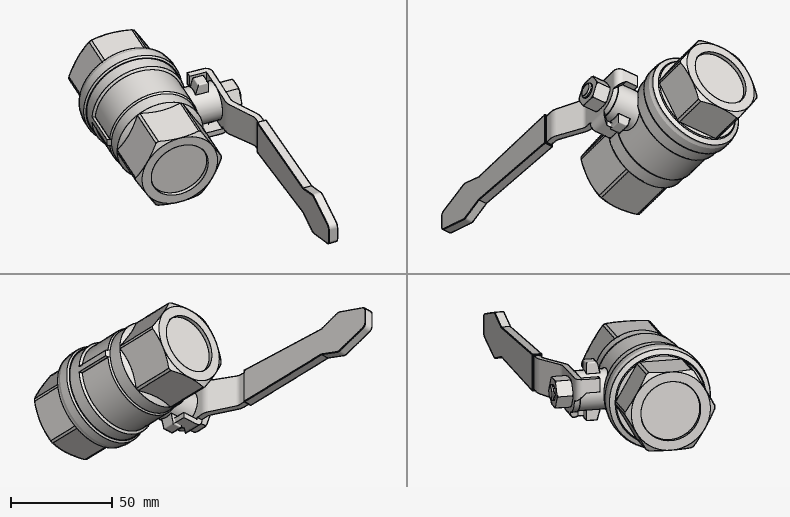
import cadquery as cq
import math


half_length = 45.0
body_middle_x = -0.5
left_end = body_middle_x - half_length
right_end = body_middle_x + half_length
hex_flats = 40.5
hex_corner_radius = 22.95
end_face_radius = 20.2
end_chamfer_length = 1.6
bore_radius = 15.25
bore_depth = 2.0

collar_start = -25.4
collar_nose_break = 0.5
collar_nose_radius = 23.2
collar_rim_radius = 25.8
collar_radius = 26.25
collar_nose_end = -23.8
collar_rim_end = -22.8
collar_ramp_end = -21.3
collar_end = -15.7
collar_edge_chamfer = 0.9
barrel_radius = 25.0
panel_start = -8.0
panel_end = 11.7
panel_radius = 23.7
panel_edge = 0.9
shoulder_radius = 23.0
shoulder_end = 18.9
shoulder_cone_end = 20.9
rib_width = 3.3
rib_root_width = 4.2
rib_slope_length = 1.3

neck_radius = 10.0
neck_top = 37.1
neck_root_fillet = 1.1
neck_root_sink = 0.05
lug_half_width = 3.5
lug_reach = 15.0
lug_top = 32.4
lug_outer_bottom = 26.9
lug_root_bottom = 25.2
lug_edge_fillet = 0.6

stem_diameter = 8.0
stem_bottom = 27.0
stem_top = 49.9
stem_chamfer = 0.8
nut_flats = 14.0
nut_top = 48.4
nut_chamfer = 0.5

plate_thickness = 3.1
plate_top = neck_top + plate_thickness
plate_middle = neck_top + plate_thickness / 2
bend_radius = 6.0
first_bend_x = 14.7
second_bend_x = 30.0
ramp_angle = 30.0
blade_angle = 2.0
taper_start_x = -4.5
lever_half_width = 9.8
plate_corner_radius = 10.5
tab_reach = 14.0
tab_bottom = 28.1
tab_inner_edge = 2.8
tab_bend_radius = 3.5
tab_root_edge = -2.0
tab_slope_bottom = 35.0

grip_thickness = 5.0
grip_wall = 0.8
grip_edge_chamfer = 0.3
grip_start_x = 34.9
grip_end_x = 120.99
grip_start_half_width = 9.55
waist_x = 89.9
waist_half_width = 7.75
paddle_x = 101.8
paddle_half_width = 12.0
tip_half_width = 5.6
paddle_corner_radius = 3.0
tip_corner_radius = 3.0
trim_height = 100.0

blade_slope = math.tan(math.radians(blade_angle))
second_bend_y = plate_middle + (second_bend_x - first_bend_x) * math.tan(math.radians(ramp_angle))


def along_stem(bottom, top):
    """Workplane normal to the stem at the lower height, and the height to extrude."""
    plane = cq.Plane(origin=(0, bottom, 0), xDir=(1, 0, 0), normal=(0, 1, 0))
    return cq.Workplane(plane), top - bottom


def turned(points):
    """Solid of revolution about the X axis, from (x, radius) points."""
    start, end = points[0][0], points[-1][0]
    outline = [(start, 0)] + points + [(end, 0)]
    return cq.Workplane("XY").polyline(outline).close().revolve(360, (0, 0, 0), (1, 0, 0))


def hex_bar():
    """Hexagon bar with flats facing +Z and -Z, corners turned down and both ends chamfered."""
    hexagon = (
        cq.Workplane("YZ", origin=(left_end, 0, 0))
        .polygon(6, hex_flats / math.cos(math.pi / 6))
        .extrude(2 * half_length)
    )
    envelope = turned([
        (left_end, end_face_radius),
        (left_end + end_chamfer_length, hex_corner_radius),
        (right_end - end_chamfer_length, hex_corner_radius),
        (right_end, end_face_radius),
    ])
    return hexagon.intersect(envelope)


def barrel():
    """Turned middle: collar, barrel, recessed panel band and shoulder."""
    return turned([
        (collar_start, collar_nose_radius - collar_nose_break),
        (collar_start + collar_nose_break, collar_nose_radius),
        (collar_nose_end, collar_rim_radius),
        (collar_rim_end, collar_rim_radius),
        (collar_ramp_end, collar_radius),
        (collar_end - collar_edge_chamfer, collar_radius),
        (collar_end, collar_radius - collar_edge_chamfer),
        (collar_end, barrel_radius),
        (panel_start - panel_edge, barrel_radius),
        (panel_start, panel_radius),
        (panel_end - panel_edge, panel_radius),
        (panel_end, shoulder_radius),
        (shoulder_end, shoulder_radius),
        (shoulder_cone_end, hex_flats / 2),
    ])


def bottom_rib():
    """Rib that carries the barrel radius across the panel band on the underside."""
    rib_profile = turned([
        (panel_start - panel_edge, barrel_radius),
        (panel_end - rib_slope_length, barrel_radius),
        (panel_end, shoulder_radius),
    ])
    strip = (
        cq.Workplane("YZ", origin=(left_end, 0, 0))
        .polyline([
            (0, -rib_root_width / 2),
            (-panel_radius, -rib_root_width / 2),
            (-barrel_radius, -rib_width / 2),
            (-barrel_radius, rib_width / 2),
            (-panel_radius, rib_root_width / 2),
            (0, rib_root_width / 2),
        ])
        .close()
        .extrude(2 * half_length)
    )
    return rib_profile.intersect(strip)


def neck():
    """Stem neck whose root fillet ends just below the panel surface, so the two join cleanly."""
    root_radius = neck_radius + neck_root_fillet
    plane, height = along_stem(0, neck_top)
    band_radius = panel_radius - neck_root_sink
    band = turned([(-2 * root_radius, band_radius), (2 * root_radius, band_radius)])
    filleted = band.union(plane.circle(neck_radius).extrude(height))
    joint = cq.selectors.BoxSelector(
        (-root_radius, panel_radius / 2, -root_radius),
        (root_radius, panel_radius + 1, root_radius),
    )
    filleted = filleted.edges(joint).fillet(neck_root_fillet)
    return filleted.intersect(plane.circle(root_radius).extrude(height))


def stop_lug(side):
    """Stop lug on the neck, reaching out along Z to the given side (+1 or -1)."""
    outline = [
        (lug_top, 0),
        (lug_top, lug_reach),
        (lug_outer_bottom, lug_reach),
        (lug_root_bottom, neck_radius - 1),
        (lug_root_bottom, 0),
    ]
    lug = (
        cq.Workplane("YZ")
        .polyline([(y, side * z) for y, z in outline])
        .close()
        .extrude(lug_half_width, both=True)
    )
    outer_face = ">Z" if side > 0 else "<Z"
    return lug.faces(outer_face).edges().fillet(lug_edge_fillet)


def make_housing(stem):
    """Housing with hexagonal ends, neck, stop lugs, shallow bores and the stem's hole."""
    housing = barrel().union(neck()).union(hex_bar()).union(bottom_rib())
    for side in (1, -1):
        housing = housing.union(stop_lug(side))
    for end_x, inward in ((left_end, bore_depth), (right_end, -bore_depth)):
        bore = cq.Workplane("YZ", origin=(end_x, 0, 0)).circle(bore_radius).extrude(inward)
        housing = housing.cut(bore)
    return housing.cut(stem)


def make_stem():
    """Round stem with a chamfered top."""
    plane, height = along_stem(stem_bottom, stem_top)
    return plane.circle(stem_diameter / 2).extrude(height).faces(">Y").chamfer(stem_chamfer)


def make_nut(stem):
    """Hexagon nut with corners facing +X and -X, and a chamfer on both ends."""
    corner_diameter = nut_flats / math.cos(math.pi / 6)
    plane, height = along_stem(plate_top, nut_top)
    hexagon = plane.polygon(6, corner_diameter).extrude(height)
    envelope = plane.circle(corner_diameter / 2).extrude(height)
    envelope = envelope.faces("<Y or >Y").chamfer(nut_chamfer)
    return hexagon.intersect(envelope).cut(stem)


def blade_points(inset):
    """Upper edge of the gripped part as (x, z) points, drawn inwards by the given inset."""
    return [
        (grip_start_x, grip_start_half_width - inset),
        (waist_x, waist_half_width - inset),
        (paddle_x, paddle_half_width - inset),
        (grip_end_x - inset, tip_half_width - inset),
    ]


def mirrored(points):
    """The same edge on the -Z side, running back."""
    return [(x, -z) for x, z in reversed(points)]


def upright_prism(sketch):
    """Prism along Y, tall enough to trim the lever and grip, from an outline in XZ."""
    return sketch.close().extrude(trim_height, both=True)


def rounded_paddle(prism):
    """Round the widest corners and the tip corners of a blade prism."""
    for corner_x, radius in ((paddle_x, paddle_corner_radius), (grip_end_x, tip_corner_radius)):
        near_corner = cq.selectors.BoxSelector(
            (corner_x - 2, -trim_height - 1, -paddle_half_width - 1),
            (corner_x + 2, trim_height + 1, paddle_half_width + 1),
        )
        prism = prism.edges("|Y").edges(near_corner).fillet(radius)
    return prism


def lever_plan():
    """Lever outline in XZ: rounded plate corner, tapering arm and paddle inside the grip."""
    arc_mid = -plate_corner_radius / math.sqrt(2)
    blade = blade_points(grip_wall)
    sketch = (
        cq.Workplane("XZ")
        .moveTo(-plate_corner_radius, 0)
        .lineTo(-plate_corner_radius, lever_half_width)
        .lineTo(taper_start_x, lever_half_width)
        .polyline(blade + mirrored(blade), includeCurrent=True)
        .lineTo(lever_half_width, -lever_half_width)
        .lineTo(lever_half_width, -plate_corner_radius)
        .lineTo(0, -plate_corner_radius)
        .threePointArc((arc_mid, arc_mid), (-plate_corner_radius, 0))
    )
    return rounded_paddle(upright_prism(sketch))


def bend_corner(x, y, angle_before, angle_after, offset):
    """Point of a plate face at a bend, the given distance above the bent centreline."""
    mean = math.radians((angle_before + angle_after) / 2)
    distance = offset / math.cos(math.radians((angle_after - angle_before) / 2))
    return (x - distance * math.sin(mean), y + distance * math.cos(mean))


def bent_strip():
    """Side profile of the lever with its two bends, wide enough to be trimmed to the plan."""
    half = plate_thickness / 2
    end_y = second_bend_y + (grip_end_x - second_bend_x) * blade_slope

    def face(offset):
        return [
            (-plate_corner_radius, plate_middle + offset),
            bend_corner(first_bend_x, plate_middle, 0, ramp_angle, offset),
            bend_corner(second_bend_x, second_bend_y, ramp_angle, blade_angle, offset),
            bend_corner(grip_end_x, end_y, blade_angle, blade_angle, offset),
        ]

    upper, lower = face(half), face(-half)
    strip = (
        cq.Workplane("XY")
        .polyline(upper + lower[::-1])
        .close()
        .extrude(2 * paddle_half_width, both=True)
    )
    inside, outside = bend_radius - half, bend_radius + half
    bends = [(upper[1], inside), (lower[1], outside), (upper[2], outside), (lower[2], inside)]
    for (x, y), radius in bends:
        strip = strip.edges(cq.NearestToPointSelector((x, y, 0))).fillet(radius)
    return strip


def stop_tab():
    """Tab bent down from the -X edge of the plate; its root slopes out below the bend."""
    inner_face = -tab_reach + plate_thickness
    bent = (
        cq.Workplane("XY")
        .polyline([
            (-tab_reach, tab_bottom),
            (-tab_reach, plate_top),
            (-neck_radius, plate_top),
            (-neck_radius, neck_top),
            (inner_face, neck_top),
            (inner_face, tab_bottom),
        ])
        .close()
        .extrude(lever_half_width, both=True)
    )
    bent = bent.edges(cq.NearestToPointSelector((-tab_reach, plate_top, 0))).fillet(tab_bend_radius)
    side_outline = (
        cq.Workplane("YZ", origin=(-tab_reach - 1, 0, 0))
        .polyline([
            (tab_bottom, lever_half_width),
            (plate_top, lever_half_width),
            (plate_top, tab_root_edge),
            (tab_slope_bottom, tab_inner_edge),
            (tab_bottom, tab_inner_edge),
        ])
        .close()
        .extrude(tab_reach)
    )
    return bent.intersect(side_outline)


def make_lever(stem):
    """Bent plate with a stop tab on the -X edge and the same tab on the -Z edge."""
    first_tab = stop_tab()
    second_tab = first_tab.mirror("YZ").rotate((0, 0, 0), (0, 1, 0), 90)
    plate = bent_strip().intersect(lever_plan())
    return plate.union(first_tab).union(second_tab).cut(stem)


def make_grip(lever):
    """Sleeve around the lever blade, tilted with it."""
    edge = blade_points(0)
    plan = rounded_paddle(upright_prism(cq.Workplane("XZ").polyline(edge + mirrored(edge))))
    slab = cq.Workplane("XY").box(2 * grip_end_x, grip_thickness, 4 * paddle_half_width)
    sleeve = plan.intersect(slab)
    sleeve = sleeve.faces("<X or <Y or >Y").edges().chamfer(grip_edge_chamfer)
    sleeve = sleeve.translate((-second_bend_x, 0, 0))
    sleeve = sleeve.rotate((0, 0, 0), (0, 0, 1), blade_angle)
    return sleeve.translate((second_bend_x, second_bend_y, 0)).cut(lever)


stem = make_stem()
housing = make_housing(stem)
nut = make_nut(stem)
lever = make_lever(stem)
grip = make_grip(lever)

result = cq.Compound.makeCompound([
    housing.val(),
    stem.val(),
    nut.val(),
    lever.val(),
    grip.val(),
])